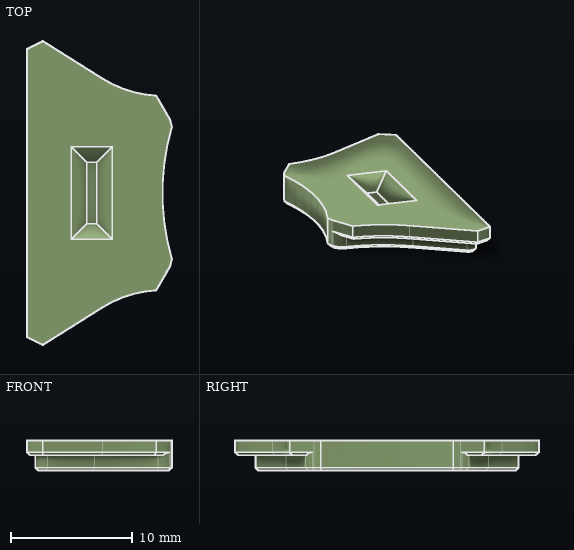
import cadquery as cq
import math

length = 25.12
width = 11.98
height = 2.49
plate_thickness = 1.23
edge_chamfer = 0.25

back_edge_half = 11.9
tip_x = 1.3
tip_y = length / 2
scallop_radius = 9.3
scallop_center_x = 11.18
scallop_center_y = 17.33
scallop_end_x = 10.68
facet_x = 11.83
facet_y = 6.05
front_corner_y = 5.48
front_mid_x = 11.2

back_inset = 0.68
side_inset = 1.3
back_corner_radius = 0.65
front_corner_radius = 1.15

pocket_center_x = 5.35
pocket_width = 3.42
pocket_length = 7.65
pocket_depth = 1.28

to_center_x = scallop_center_x - tip_x
to_center_y = scallop_center_y - tip_y
center_distance = math.hypot(to_center_x, to_center_y)
flank_angle = math.atan2(to_center_y, to_center_x) - math.asin(scallop_radius / center_distance)


def scallop_point(radius, angle):
    return (
        scallop_center_x + radius * math.cos(angle),
        scallop_center_y + radius * math.sin(angle),
    )


def scallop_y(radius, x):
    return scallop_center_y - math.sqrt(radius**2 - (x - scallop_center_x) ** 2)


def mirrored(point):
    return (point[0], -point[1])


def outline(back_points, radius, end_x):
    """Closed symmetric profile: back points, flank, scallop, facets and concave front."""
    tangent_angle = flank_angle - math.pi / 2
    end = (end_x, scallop_y(radius, end_x))
    end_angle = math.atan2(end[1] - scallop_center_y, end[0] - scallop_center_x)
    start = scallop_point(radius, tangent_angle)
    middle = scallop_point(radius, (tangent_angle + end_angle) / 2)
    facet = (facet_x, facet_y)
    front_corner = (width, front_corner_y)

    profile = cq.Workplane("XY").moveTo(*back_points[0])
    for point in back_points[1:]:
        profile = profile.lineTo(*point)
    profile = profile.lineTo(*start).threePointArc(middle, end)
    profile = profile.lineTo(*facet).lineTo(*front_corner)
    profile = profile.threePointArc((front_mid_x, 0), mirrored(front_corner))
    profile = profile.lineTo(*mirrored(facet)).lineTo(*mirrored(end))
    profile = profile.threePointArc(mirrored(middle), mirrored(start))
    for point in reversed(back_points):
        profile = profile.lineTo(*mirrored(point))
    return profile.close()


def make_plate():
    back_points = [(0, back_edge_half), (tip_x, tip_y)]
    plate = outline(back_points, scallop_radius, scallop_end_x).extrude(plate_thickness)
    plate = plate.faces("<Z").chamfer(edge_chamfer)
    return plate.translate((0, 0, height - plate_thickness))


def block_scallop_end_x(radius):
    """X where the inset scallop meets the line of the plate's angled facet."""
    facet_start_y = scallop_y(scallop_radius, scallop_end_x)
    run = facet_x - scallop_end_x
    drop = facet_y - facet_start_y
    facet_length = math.hypot(run, drop)
    direction_x = run / facet_length
    direction_y = drop / facet_length
    offset_x = scallop_end_x - scallop_center_x
    offset_y = facet_start_y - scallop_center_y
    along = offset_x * direction_x + offset_y * direction_y
    across_squared = offset_x**2 + offset_y**2 - along**2
    return scallop_end_x + direction_x * (math.sqrt(radius**2 - across_squared) - along)


def round_corners(block, x, y, radius):
    for side in (1, -1):
        corner = cq.selectors.NearestToPointSelector((x, side * y, height / 2))
        block = block.edges("|Z").edges(corner).fillet(radius)
    return block


def make_block():
    radius = scallop_radius + side_inset
    flank_x, flank_y = scallop_point(radius, flank_angle - math.pi / 2)
    back_y = flank_y + (back_inset - flank_x) * math.tan(flank_angle)
    end_x = block_scallop_end_x(radius)
    block = outline([(back_inset, back_y)], radius, end_x).extrude(height)
    block = round_corners(block, back_inset, back_y, back_corner_radius)
    block = round_corners(block, end_x, scallop_y(radius, end_x), front_corner_radius)
    return block.faces("<Z").chamfer(edge_chamfer)


def make_pocket():
    return (
        cq.Workplane("XY", origin=(pocket_center_x, 0, height))
        .rect(pocket_width, pocket_length)
        .workplane(offset=-pocket_depth)
        .rect(pocket_width - 2 * pocket_depth, pocket_length - 2 * pocket_depth)
        .loft(combine=True)
    )


cover = make_plate().union(make_block()).cut(make_pocket())

result = cq.Compound.makeCompound([cover.val()])